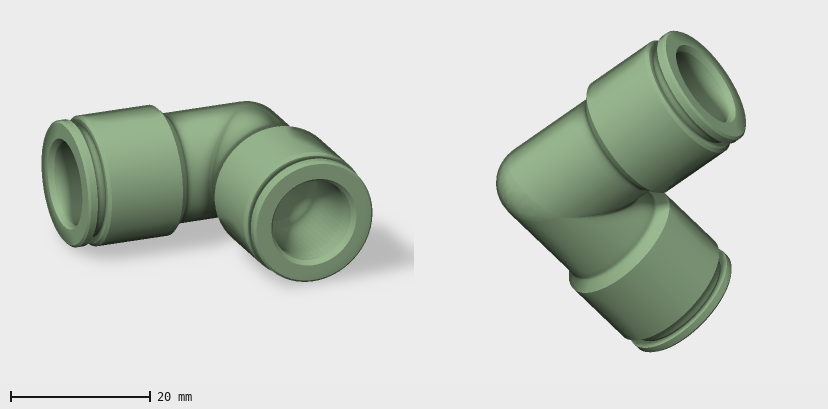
import cadquery as cq
import math

overall_length = 36.9
pipe_radius = 8.0
collar_diameter = 19.0
collar_radius = collar_diameter / 2
arm_length = overall_length - collar_radius
neck_radius = 8.1
flange_radius = 9.22

blend_start = 11.2
blend_end = 11.6
collar_start = 13.0
collar_end = 24.43
neck_taper_start = 25.8
flange_start = 26.05

collar_chamfer = 0.45
flange_chamfer = 0.35

mouth_radius = 6.6
socket_radius = 6.05
bottom_radius = 4.98
mouth_depth = 0.8
socket_depth = 13.65
shoulder_depth = 0.63
bottom_cone_depth = 2.03

rounding_ratio = 0.62
rounding_sections = 9

inner_fillet = 0.37

tolerance = 0.0005


def make_arm():
    """Revolve one arm about the X axis, starting at the corner."""
    cone_run = collar_start - blend_end
    blend_end_radius = collar_radius - cone_run
    return (
        cq.Workplane("XY")
        .lineTo(0, pipe_radius)
        .lineTo(blend_start, pipe_radius)
        .tangentArcPoint((blend_end, blend_end_radius), relative=False)
        .lineTo(collar_start, collar_radius)
        .lineTo(collar_end - collar_chamfer, collar_radius)
        .lineTo(collar_end, collar_radius - collar_chamfer)
        .lineTo(collar_end, neck_radius)
        .lineTo(neck_taper_start, neck_radius)
        .lineTo(flange_start, pipe_radius)
        .lineTo(flange_start, flange_radius)
        .lineTo(arm_length - flange_chamfer, flange_radius)
        .lineTo(arm_length, flange_radius - flange_chamfer)
        .lineTo(arm_length, 0)
        .close()
        .revolve(360, (0, 0, 0), (1, 0, 0))
    )


def make_bore():
    """Blind bore entering the arm along the X axis."""
    socket_end = arm_length - socket_depth
    shoulder_end = socket_end - shoulder_depth
    return (
        cq.Workplane("XY")
        .moveTo(arm_length, 0)
        .lineTo(arm_length, mouth_radius)
        .lineTo(arm_length - mouth_depth, socket_radius)
        .lineTo(socket_end, socket_radius)
        .lineTo(shoulder_end, bottom_radius)
        .lineTo(shoulder_end - bottom_cone_depth, 0)
        .close()
        .revolve(360, (0, 0, 0), (1, 0, 0))
    )


def corner_section(turn):
    """Half ellipse in a plane through the Z axis; turn is the angle around the rounding."""
    center = 1 - rounding_ratio
    x = -pipe_radius * (center + rounding_ratio * math.cos(turn))
    y = pipe_radius * (center + rounding_ratio * math.sin(turn))
    reach = math.hypot(x, y)
    plane = cq.Plane(origin=(0, 0, 0), xDir=(x, y, 0), normal=(y, -x, 0))
    return (
        cq.Workplane(plane)
        .ellipseArc(reach, pipe_radius, -90, 90, startAtCurrent=False)
        .close()
        .wire()
        .val()
    )


def make_corner_rounding():
    """Wedge that fills the outer corner between the two mitred pipes."""
    last = rounding_sections - 1
    sections = [corner_section(math.pi / 2 * i / last) for i in range(rounding_sections)]
    loft = cq.Solid.makeLoft(sections)
    real_faces = [face for face in loft.Faces() if face.Area() > tolerance]
    return cq.Workplane(cq.Solid.makeSolid(cq.Shell.makeShell(real_faces)))


def make_mitred_arm():
    """Arm trimmed by the rounding's tangent plane outside and the mitre plane inside."""
    reach = 2 * arm_length
    outer_pipe = cq.Workplane("YZ").circle(pipe_radius).extrude(-pipe_radius)
    trim = (
        cq.Workplane("XY")
        .lineTo(-reach * (1 - rounding_ratio), reach)
        .lineTo(reach, reach)
        .lineTo(reach, -reach)
        .close()
        .extrude(reach, both=True)
    )
    return make_arm().union(outer_pipe).intersect(trim)


def along_minus_y(body):
    """Mirror a body from the X arm onto the -Y arm across the mitre plane."""
    return body.mirror("YZ").rotate((0, 0, 0), (0, 0, 1), 90)


def is_mitre_edge(edge):
    """True for the elliptical edges in the inner mitre plane."""
    middle = edge.positionAt(0.5)
    return middle.x > tolerance and abs(middle.x + middle.y) < tolerance


arm = make_mitred_arm()
bore = make_bore()
elbow = arm.union(along_minus_y(arm))
mitre_edges = [edge for edge in elbow.edges("%ELLIPSE").vals() if is_mitre_edge(edge)]
elbow = elbow.newObject(mitre_edges).fillet(inner_fillet)
elbow = elbow.union(make_corner_rounding())
result = elbow.cut(bore).cut(along_minus_y(bore))